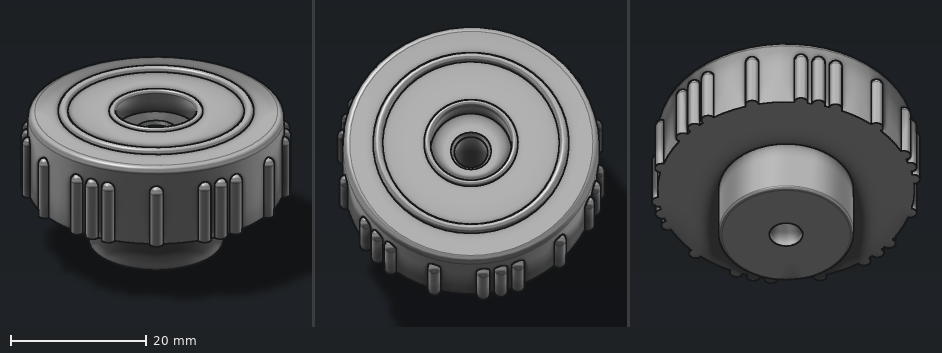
import cadquery as cq

head_diameter = 38.0
hub_diameter = 20.0
hub_height = 9.0
head_top = 21.5
head_fillet = 1.0
hub_fillet = 0.48

rib_radius = 1.0
rib_length = 8.5
rib_group_count = 6
rib_spacing_angle = 8.0

outer_bead_outer_diameter = 29.0
outer_bead_radius = 0.7
recess_bead_radius = 0.48

recess_diameter = 12.0
recess_depth = 3.0
hole_diameter = 4.9
countersink = 0.5


def disc(diameter, bottom, height):
    return cq.Workplane("XY").workplane(offset=bottom).circle(diameter / 2).extrude(height)


def bead(centre_radius, bead_radius):
    """Ring of circular section whose upper half stands above the top face."""
    return (
        cq.Workplane("XZ")
        .center(centre_radius, head_top)
        .circle(bead_radius)
        .revolve(360, (-centre_radius, 0), (-centre_radius, 1))
    )


def rib(angle):
    """Vertical round rib centred on the rim, with a domed upper end."""
    centre_radius = head_diameter / 2
    shaft = disc(2 * rib_radius, hub_height, rib_length)
    dome = cq.Workplane("XY").sphere(rib_radius).translate((0, 0, hub_height + rib_length))
    return shaft.union(dome).translate((centre_radius, 0, 0)).rotate((0, 0, 0), (0, 0, 1), angle)


hub = disc(hub_diameter, 0, hub_height).faces("<Z").edges().fillet(hub_fillet)
head = disc(head_diameter, hub_height, head_top - hub_height).faces(">Z").edges().fillet(head_fillet)
result = hub.union(head)

group_angle = 360 / rib_group_count
for group in range(rib_group_count):
    for offset in (-rib_spacing_angle, 0, rib_spacing_angle, group_angle / 2):
        result = result.union(rib(group * group_angle + offset))

result = result.union(bead(outer_bead_outer_diameter / 2 - outer_bead_radius, outer_bead_radius))
result = result.union(bead(recess_diameter / 2 + recess_bead_radius, recess_bead_radius))

recess_floor = head_top - recess_depth
result = result.cut(disc(recess_diameter, recess_floor, recess_depth))
hole = disc(hole_diameter, 0, recess_floor)
hole_mouth = cq.Workplane(
    cq.Solid.makeCone(
        hole_diameter / 2,
        hole_diameter / 2 + countersink,
        countersink,
        pnt=cq.Vector(0, 0, recess_floor - countersink),
    )
)
result = result.cut(hole).cut(hole_mouth)